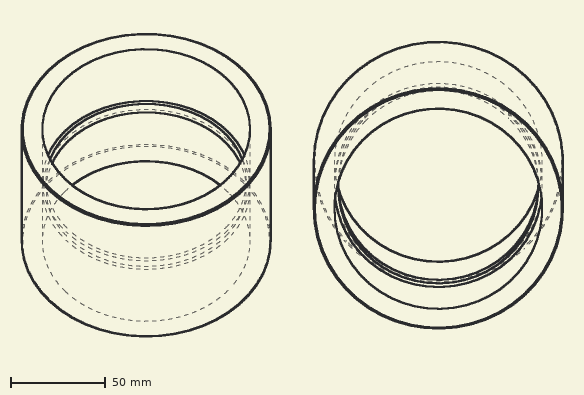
import cadquery as cq

outer_diameter = 132.0
height = 93.0
socket_diameter = 110.0
stop_diameter = 106.0
socket_depth = 43.0
edge_chamfer = 0.7

sleeve = (
    cq.Workplane("XY")
    .circle(outer_diameter / 2)
    .extrude(height)
    .edges("%CIRCLE")
    .chamfer(edge_chamfer)
)


def bore(diameter, bottom, depth):
    """Cylinder to remove, centred on the sleeve axis."""
    return cq.Workplane("XY").workplane(offset=bottom).circle(diameter / 2).extrude(depth)


result = sleeve.cut(bore(stop_diameter, 0, height))
for socket_bottom in (0, height - socket_depth):
    result = result.cut(bore(socket_diameter, socket_bottom, socket_depth))